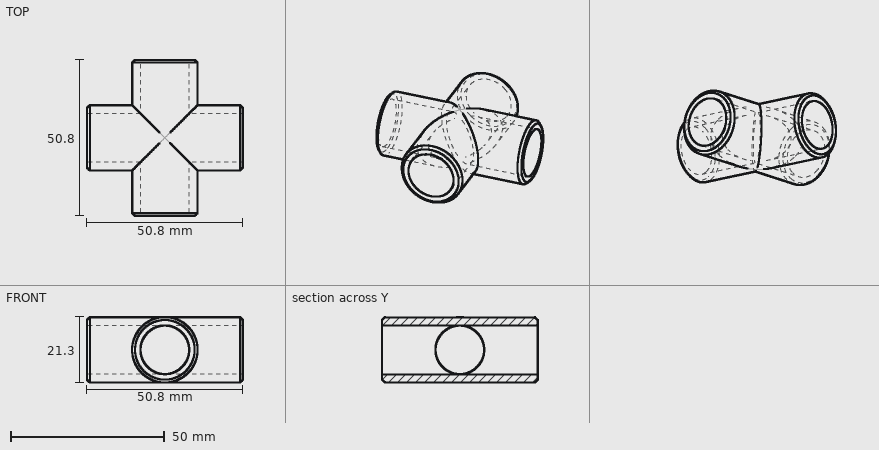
import cadquery as cq

SPAN = 50.8
OUTER_DIAMETER = 21.34
BORE_DIAMETER = 15.8
END_CHAMFER = 0.95


def centred_cylinder(plane, diameter):
    """Cylinder of full span, centred on the origin, along the normal of the plane."""
    return cq.Workplane(plane).circle(diameter / 2).extrude(SPAN / 2, both=True)


def bevelled_run(plane):
    """Solid run with both end rims chamfered."""
    return centred_cylinder(plane, OUTER_DIAMETER).edges("%CIRCLE").chamfer(END_CHAMFER)


RUN_PLANES = ("YZ", "XZ")

result = bevelled_run(RUN_PLANES[0]).union(bevelled_run(RUN_PLANES[1]))
for run_plane in RUN_PLANES:
    result = result.cut(centred_cylinder(run_plane, BORE_DIAMETER))